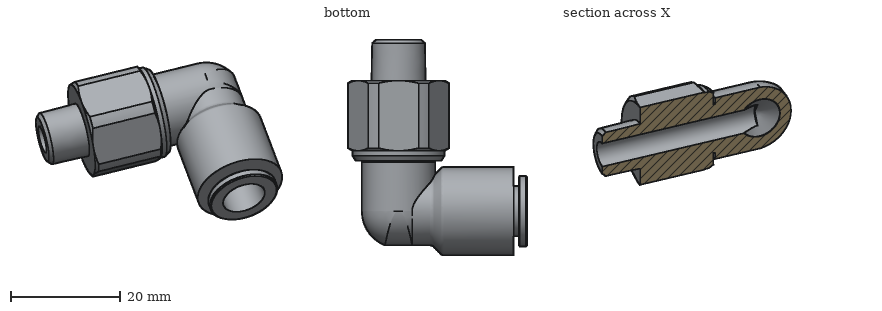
import cadquery as cq
import math


body_radius = 6.75
neck_radius = 6.27
body_end = 8.95

swivel_radius = 5.35
collar_start = 9.2
collar_radius = 8.45
collar_chamfer_radial = 0.6
collar_chamfer_length = 0.95
hex_start = 11.05
hex_end = 23.85
hex_across_flats = 17.05
hex_corner_radius = 9.25
hex_chamfer_length = 0.47

spigot_end = 31.35
spigot_root_radius = 4.95
spigot_tip_radius = 4.85
spigot_face_radius = 4.15
spigot_chamfer_length = 0.67

sleeve_radius = 8.1
cone_start = 6.15
sleeve_start = 7.95
sleeve_end = 21.02
sleeve_edge_rounding = 0.6
neck_fillet = 0.85
stem_radius = 4.6
ring_start = 21.95
ring_end = 23.5
ring_radius = 6.45
ring_chamfer = 0.25

bore_radius = 2.5
tube_bore_radius = 4.0
drill_tip_angle = 120.0


def leg_solid(profile):
    """Revolve (radius, distance) points about Y, with distance running along -Y."""
    points = [(radius, -distance) for radius, distance in profile]
    return cq.Workplane("XY").polyline(points).close().revolve(360, (0, 0), (0, 1))


def branch_solid(profile):
    """Revolve (distance, radius) points about X."""
    return cq.Workplane("XY").polyline(profile).close().revolve(360, (0, 0), (1, 0))


def make_body():
    """Round leg with a spherical heel flattened to the height of the neck."""
    leg = leg_solid([(0, 0), (body_radius, 0), (body_radius, body_end), (0, body_end)])
    limit_center = (neck_radius**2 - body_radius**2) / (2 * neck_radius)
    heel_limit = (
        cq.Workplane("YZ", origin=(-body_radius, limit_center, 0))
        .circle(neck_radius - limit_center)
        .extrude(2 * body_radius)
    )
    heel = (
        cq.Workplane("XY")
        .moveTo(-body_radius, 0)
        .threePointArc((0, body_radius), (body_radius, 0))
        .close()
        .revolve(360, (0, 0), (1, 0))
        .intersect(heel_limit)
    )
    return leg.union(heel)


def make_collar():
    """Thin swivel joint followed by the chamfered collar."""
    return leg_solid([
        (0, body_end),
        (swivel_radius, body_end),
        (swivel_radius, collar_start),
        (collar_radius - collar_chamfer_radial, collar_start),
        (collar_radius, collar_start + collar_chamfer_length),
        (collar_radius, hex_start),
        (0, hex_start),
    ])


def make_hexagon():
    """Hexagon with turned corners and chamfered end faces."""
    face_radius = hex_across_flats / 2
    hexagon = (
        cq.Workplane("XZ", origin=(0, -hex_start, 0))
        .polygon(6, hex_across_flats / math.cos(math.pi / 6))
        .extrude(hex_end - hex_start)
    )
    turned_limit = leg_solid([
        (0, hex_start),
        (face_radius, hex_start),
        (hex_corner_radius, hex_start + hex_chamfer_length),
        (hex_corner_radius, hex_end - hex_chamfer_length),
        (face_radius, hex_end),
        (0, hex_end),
    ])
    return hexagon.intersect(turned_limit)


def make_spigot():
    """Slightly tapered thread spigot with a chamfered tip."""
    return leg_solid([
        (0, hex_end),
        (spigot_root_radius, hex_end),
        (spigot_tip_radius, spigot_end - spigot_chamfer_length),
        (spigot_face_radius, spigot_end),
        (0, spigot_end),
    ])


def make_branch():
    """Neck and coned sleeve with a rounded shoulder."""
    sleeve = branch_solid([
        (0, 0),
        (0, neck_radius),
        (cone_start, neck_radius),
        (sleeve_start, sleeve_radius),
        (sleeve_end, sleeve_radius),
        (sleeve_end, 0),
    ])
    shoulder = cq.selectors.NearestToPointSelector((sleeve_start, 0, 0))
    neck_joint = cq.selectors.NearestToPointSelector((cone_start, 0, 0))
    sleeve = sleeve.edges("%CIRCLE").edges(shoulder).fillet(sleeve_edge_rounding)
    return sleeve.edges("%CIRCLE").edges(neck_joint).fillet(neck_fillet)


def make_release_ring():
    """Stem and flanged release ring at the tube entry."""
    return branch_solid([
        (sleeve_end, 0),
        (sleeve_end, stem_radius),
        (ring_start, stem_radius),
        (ring_start, ring_radius - ring_chamfer),
        (ring_start + ring_chamfer, ring_radius),
        (ring_end - ring_chamfer, ring_radius),
        (ring_end, ring_radius - ring_chamfer),
        (ring_end, 0),
    ])


def make_passage():
    """Bores of both legs; the wider tube bore ends in a drill point past the centre."""
    tip_length = tube_bore_radius / math.tan(math.radians(drill_tip_angle / 2))
    leg_bore = leg_solid([(0, 0), (bore_radius, 0), (bore_radius, spigot_end), (0, spigot_end)])
    tube_bore = branch_solid([
        (-tip_length, 0),
        (0, tube_bore_radius),
        (ring_end, tube_bore_radius),
        (ring_end, 0),
    ])
    return leg_bore.union(tube_bore)


result = (
    make_body()
    .union(make_collar())
    .union(make_hexagon())
    .union(make_spigot())
    .union(make_branch())
    .union(make_release_ring())
    .cut(make_passage())
)